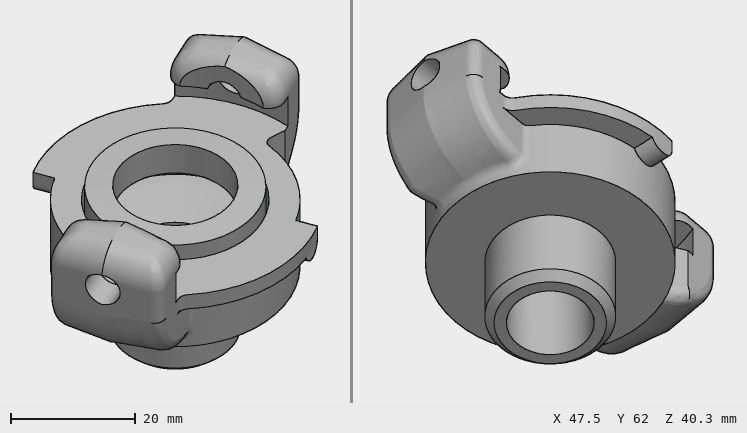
import cadquery as cq
import math


body_radius = 40.0 / 2
body_depth = 14.0
tail_radius = 20.95 / 2
tail_length = 14.0
tail_chamfer = 1.5
bore_radius = 14.0 / 2

mouth_radius = 30.0 / 2
groove_radius = 35.0 / 2
recess_depth = 8.75
funnel_radius = 14.5
funnel_angle = 15

lobe_radius = 47.5 / 2
lobe_thickness = 3.0
lobe_fillet = 2.0
lobe_tongue_end = 25.4
nib_radius = 2.5
nib_axis_depth = 2.25

claw_reach = 31.0
claw_half_width = 9.8
claw_slope = 8
claw_top = 12.3
claw_edge_radius = 2.0
side_drop = claw_half_width * math.tan(math.radians(claw_slope))

head_inner_ridge = 18.55
head_rim_radius = 4.95
head_inner_corner_radius = 3.0
hook_underside = 6.1
hook_mouth_radius = 20.85
shank_inner_radius = 25.55
claw_hole_diameter = 6.0
claw_hole_height = 5.2

root_inner = 12.4
root_elbow_radius = 11.65
root_fillet = 1.5
relief_start = 22.45
relief_angle = 30

ring_outer_radius = 29.0 / 2
ring_inner_radius = 20.0 / 2
ring_rim_height = 2.65
ring_crown_height = 3.0
ring_bore_depth = 3.0
ring_flange_radius = 34.5 / 2
ring_flange_thickness = 3.0
ring_foot_radius = 16.5
ring_flange_top = ring_flange_thickness - recess_depth

pick_slack = 0.05


def cylinder(radius, bottom, top):
    return cq.Workplane("XY").workplane(offset=bottom).circle(radius).extrude(top - bottom)


def box(x_range, y_range, z_range):
    sizes = [high - low for low, high in (x_range, y_range, z_range)]
    corner = (x_range[0], y_range[0], z_range[0])
    return cq.Workplane("XY").box(*sizes, centered=False).translate(corner)


def revolved(section):
    """Solid of revolution about Z from (radius, height) points."""
    return cq.Workplane("XZ").polyline(section).close().revolve(360, (0, 0, 0), (0, 1, 0))


def flange_lobe():
    """Flange sector on the -X, +Y side, with a nib under its end and a tongue into the claw."""
    disc = cylinder(lobe_radius, -body_depth, 0)
    sector = box((-lobe_radius, 0), (0, lobe_radius), (-lobe_thickness, 0))
    step = box((-lobe_radius, 0), (-nib_radius, 0), (-nib_axis_depth, 0))
    nib = cq.Workplane("YZ").center(0, -nib_axis_depth).circle(nib_radius).extrude(-lobe_radius)
    lobe = sector.union(nib).union(step).intersect(disc)

    tongue = box((-claw_half_width, 0), (0, lobe_tongue_end), (-lobe_thickness, 0))
    corner_y = math.sqrt(lobe_radius**2 - claw_half_width**2)
    corner = cq.selectors.NearestToPointSelector((-claw_half_width, corner_y, -lobe_thickness / 2))
    return lobe.union(tongue).edges(corner).fillet(lobe_fillet)


def root_relief():
    """Wedge that slants the lower +X flank of the claw inward towards the body."""
    length = relief_start - root_inner
    slant = length * math.tan(math.radians(relief_angle))
    return (
        cq.Workplane("XY")
        .polyline([
            (claw_half_width, relief_start),
            (claw_half_width, root_inner),
            (claw_half_width - slant, root_inner),
        ])
        .close()
        .extrude(-root_elbow_radius)
    )


def claw_root():
    """Part of the +Y claw below the flange top: two oblique halves that meet in a ridge at x = 0."""
    profile = (
        cq.Workplane("YZ")
        .moveTo(root_inner, 0)
        .lineTo(claw_reach, 0)
        .radiusArc((claw_reach - root_elbow_radius, -root_elbow_radius), root_elbow_radius)
        .lineTo(root_inner, -root_elbow_radius)
        .close()
    )
    face = cq.Face.makeFromWires(profile.val())
    left, right = [
        cq.Workplane(cq.Solid.extrudeLinear(face, cq.Vector(side * claw_half_width, -side_drop, 0)))
        for side in (-1, 1)
    ]
    root = left.union(right).cut(root_relief())

    below_flange = cq.selectors.BoxSelector(
        (-claw_reach, root_inner + pick_slack, -claw_reach),
        (claw_reach, claw_reach, -pick_slack),
    )
    flank_edges = [
        edge
        for edge in root.edges(below_flange).edges("not |Z").vals()
        if abs(edge.Center().x) > claw_half_width / 2
    ]
    return root.newObject(flank_edges).fillet(claw_edge_radius)


def claw_head():
    """Part of the +Y claw above the flange top: a six-sided block with a ridged roof and a hook."""
    flank_outer = claw_reach - side_drop
    flank_inner = head_inner_ridge + side_drop
    block = (
        cq.Workplane("XY")
        .polyline([
            (-claw_half_width, flank_outer),
            (0, claw_reach),
            (claw_half_width, flank_outer),
            (claw_half_width, flank_inner),
            (0, head_inner_ridge),
            (-claw_half_width, flank_inner),
        ])
        .close()
        .extrude(claw_top)
    )
    eaves = claw_top - side_drop
    gable = (
        cq.Workplane("XZ")
        .polyline([
            (-claw_half_width, 0),
            (-claw_half_width, eaves),
            (0, claw_top),
            (claw_half_width, eaves),
            (claw_half_width, 0),
        ])
        .close()
        .extrude(-claw_reach)
    )
    head = block.intersect(gable)

    roof = cq.selectors.BoxSelector(
        (-claw_reach, 0, eaves - pick_slack), (claw_reach, claw_reach, claw_top)
    )
    rim = [edge for edge in head.edges(roof).vals() if abs(edge.Center().x) > pick_slack]
    head = head.newObject(rim).fillet(head_rim_radius)
    head = head.edges("|Z").edges("<X or >X").edges(">Y").fillet(claw_edge_radius)
    head = head.edges("|Z").edges("<X or >X").edges("<Y").fillet(head_inner_corner_radius)

    undercut = cylinder(shank_inner_radius, 0, hook_underside)
    mouth = cylinder(hook_mouth_radius, 0, claw_top)
    hole = (
        cq.Workplane("XZ")
        .center(0, claw_hole_height)
        .circle(claw_hole_diameter / 2)
        .extrude(-claw_reach)
    )
    return head.cut(undercut).cut(mouth).cut(hole)


def is_root_junction(edge):
    """True for an edge on the side of the body cylinder, within the reach of the +Y claw root."""
    points = [edge.positionAt(t) for t in (0, 0.3, 0.7, 1)]
    on_side = all(abs(math.hypot(p.x, p.y) - body_radius) < pick_slack for p in points)
    center = edge.Center()
    return on_side and center.y > root_inner and -body_depth + pick_slack < center.z < -pick_slack


def body_with_root():
    """Body cylinder with the +Y claw root, blended all along their junction."""
    body = cylinder(body_radius, -body_depth, 0).union(claw_root())
    junction = [edge for edge in body.edges().vals() if is_root_junction(edge)]
    return body.newObject(junction).fillet(root_fillet)


def hose_tail():
    tail = cylinder(tail_radius, -body_depth - tail_length, -body_depth)
    return tail.faces("<Z").chamfer(tail_chamfer)


def passage():
    """Void through the housing: seal mouth, flange groove, funnel and bore."""
    tail_end = -body_depth - tail_length
    funnel_drop = (funnel_radius - bore_radius) * math.tan(math.radians(funnel_angle))
    return revolved([
        (0, 0),
        (mouth_radius, 0),
        (mouth_radius, ring_flange_top),
        (groove_radius, ring_flange_top),
        (groove_radius, -recess_depth),
        (funnel_radius, -recess_depth),
        (bore_radius, -recess_depth - funnel_drop),
        (bore_radius, tail_end),
        (0, tail_end),
    ])


def make_housing():
    half = body_with_root().union(flange_lobe()).union(claw_head())
    other_half = half.rotate((0, 0, 0), (0, 0, 1), 180)
    return half.union(other_half).union(hose_tail()).cut(passage())


def make_ring():
    """Seal with a slightly conical top, a flange held in the groove and a flared underside."""
    return revolved([
        (ring_inner_radius, ring_crown_height),
        (ring_outer_radius, ring_rim_height),
        (ring_outer_radius, ring_flange_top),
        (ring_flange_radius, ring_flange_top),
        (ring_flange_radius, -recess_depth),
        (ring_foot_radius, -recess_depth),
        (ring_inner_radius, -ring_bore_depth),
    ])


housing = make_housing()
ring = make_ring()
result = cq.Compound.makeCompound([housing.val(), ring.val()])